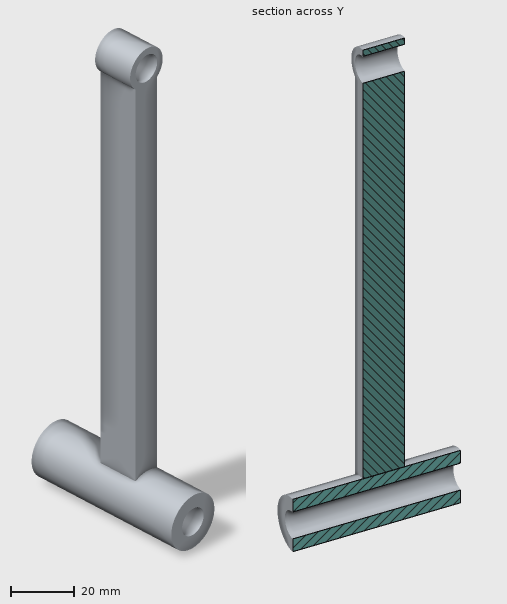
import cadquery as cq

total_height = 181.5

tube_length = 60.0
tube_diameter = 20.0
bore_diameter = 10.0

eye_diameter = 15.0
arm_width = 15.0
arm_thickness = 10.0
arm_left_setback = 25.0

eye_height = total_height - tube_diameter / 2 - eye_diameter / 2
tube_left = -tube_length / 2
arm_left = tube_left + arm_left_setback


def cylinder_along_x(diameter, left, length, height):
    """Solid cylinder parallel to X, starting at x = left, with its axis at z = height."""
    return (
        cq.Workplane("YZ", origin=(left, 0, height))
        .circle(diameter / 2)
        .extrude(length)
    )


def make_base_tube():
    """Plain round tube that carries the arm."""
    outside = cylinder_along_x(tube_diameter, tube_left, tube_length, 0)
    bore = cylinder_along_x(bore_diameter, tube_left, tube_length, 0)
    return outside.cut(bore)


def make_arm():
    """Bar with a bored eye on top and a saddle at its foot that fits the tube."""
    bar = (
        cq.Workplane("XY")
        .box(arm_width, arm_thickness, eye_height, centered=(False, True, False))
        .translate((arm_left, 0, 0))
    )
    eye = cylinder_along_x(eye_diameter, arm_left, arm_width, eye_height)
    eye_bore = cylinder_along_x(bore_diameter, arm_left, arm_width, eye_height)
    saddle = cylinder_along_x(tube_diameter, tube_left, tube_length, 0)
    return bar.union(eye).cut(eye_bore).cut(saddle)


base_tube = make_base_tube()
arm = make_arm()

result = cq.Compound.makeCompound([base_tube.solids().val(), arm.solids().val()])